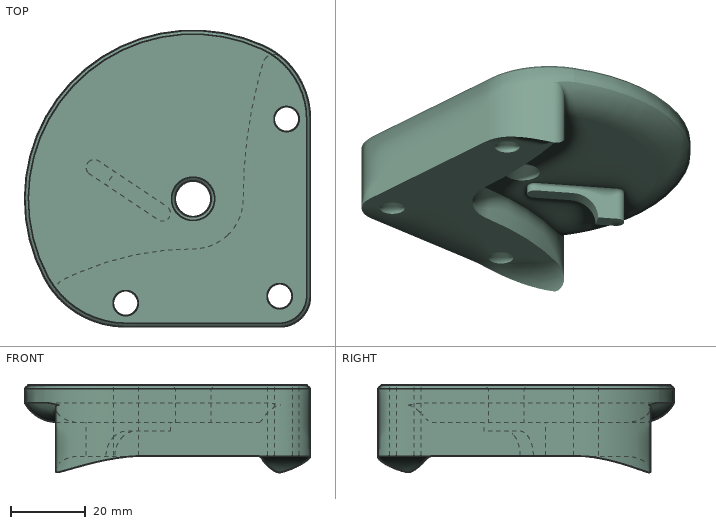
import cadquery as cq
import math


disc_radius = 45.0
right_edge = 31.32
bottom_edge = -34.2
right_flat_top = 21.3
bottom_flat_left = -18.0
corner_radius = 8.2
top_chamfer = 1.0
corner_center = (right_edge - corner_radius, bottom_edge + corner_radius)

plate_thickness = 10.0
rim_edge_drop = 4.75
wall_bottom = -19.0
wall_flat_radius = 36.35
rim_round_radius = 10.0
lowest_level = -30.0

pocket_radius = 13.3
nose_radius = 3.0
upper_nose_angle = math.radians(50.6)
left_nose_angle = math.radians(223.2)
reach = 1.5
far_corner = (80.0, -80.0)
margin = 1.0

bore_diameter = 9.53
bore_chamfer = 1.0
bore_sink_angle = 90.0
screw_diameter = 6.6
screw_inset = 6.35
screw_positions = [
    (right_edge - screw_inset, right_flat_top),
    corner_center,
    (bottom_flat_left, bottom_edge + screw_inset),
]

rib_start = (-26.5, 8.43)
rib_end = (-8.25, -3.75)
rib_radius = 2.12
rib_low_depth = 2.25
rib_step = 12.0


def blend_radius(edge_distance, tangent_offset):
    """Radius of an arc tangent to a flat edge and touching the disc from inside."""
    return (disc_radius**2 - edge_distance**2 - tangent_offset**2) / (2 * (disc_radius - edge_distance))


blend_right = blend_radius(right_edge, right_flat_top)
blend_bottom = blend_radius(-bottom_edge, bottom_flat_left)
blend_right_center = (right_edge - blend_right, right_flat_top)
blend_bottom_center = (bottom_flat_left, bottom_edge + blend_bottom)

rim_center_height = rim_round_radius - plate_thickness
rim_flat_radius = disc_radius - math.sqrt(rim_round_radius**2 - (rim_center_height + rim_edge_drop)**2)


def polar(center, radius, angle):
    return (center[0] + radius * math.cos(angle), center[1] + radius * math.sin(angle))


def heading(start, end):
    return math.atan2(end[1] - start[1], end[0] - start[0])


def add_arc(sketch, center, radius, start_angle, end_angle):
    """Continue a wire with an arc from start_angle to end_angle (radians)."""
    middle = polar(center, radius, (start_angle + end_angle) / 2)
    return sketch.threePointArc(middle, polar(center, radius, end_angle))


def make_outline():
    origin = (0, 0)
    right_angle = heading(origin, blend_right_center)
    bottom_angle = heading(origin, blend_bottom_center) + 2 * math.pi
    sketch = cq.Workplane("XY").moveTo(right_edge, right_flat_top)
    sketch = add_arc(sketch, blend_right_center, blend_right, 0, right_angle)
    sketch = add_arc(sketch, origin, disc_radius, right_angle, bottom_angle)
    sketch = add_arc(sketch, blend_bottom_center, blend_bottom, bottom_angle, 1.5 * math.pi)
    sketch = sketch.lineTo(corner_center[0], bottom_edge)
    sketch = add_arc(sketch, corner_center, corner_radius, -math.pi / 2, 0)
    return sketch.close()


def make_blank():
    """Full-height prism of the outline with the upper edge chamfered."""
    blank = make_outline().extrude(lowest_level)
    return blank.faces(">Z").chamfer(top_chamfer)


def make_plate_envelope():
    """Disc with the rounded underside of the rim."""
    middle = polar((rim_flat_radius, rim_center_height), rim_round_radius, -math.pi / 3)
    return (
        cq.Workplane("XZ")
        .lineTo(0, -plate_thickness)
        .lineTo(rim_flat_radius, -plate_thickness)
        .threePointArc(middle, (disc_radius, -rim_edge_drop))
        .lineTo(disc_radius + margin, -rim_edge_drop)
        .lineTo(disc_radius + margin, 0)
        .close()
        .revolve(360, (0, 0), (0, 1))
    )


def wall_arc_radius(across, along):
    """Radius of the inner wall arc, tangent to the pocket corner and to a wall nose.

    across is the nose's distance from the bore square to the wall, along is that parallel to it.
    """
    offset = across - pocket_radius
    return (offset**2 + along**2 - nose_radius**2) / (2 * (offset - nose_radius))


def make_wall_plan():
    """Vertical prism whose inner side is the wall's inner face."""
    upper_nose = polar(blend_right_center, blend_right - nose_radius, upper_nose_angle)
    left_nose = polar(blend_bottom_center, blend_bottom - nose_radius, left_nose_angle)
    upper_arc = wall_arc_radius(upper_nose[0], upper_nose[1])
    left_arc = wall_arc_radius(-left_nose[1], left_nose[0])
    upper_center = (pocket_radius + upper_arc, 0)
    left_center = (0, -pocket_radius - left_arc)
    upper_tangent = heading(upper_center, upper_nose)
    left_tangent = heading(left_center, left_nose)
    upper_tip = polar(upper_nose, nose_radius, upper_nose_angle)
    left_tip = polar(left_nose, nose_radius, left_nose_angle)

    sketch = cq.Workplane("XY").moveTo(*upper_tip)
    sketch = add_arc(sketch, upper_nose, nose_radius, upper_nose_angle, upper_tangent)
    sketch = add_arc(sketch, upper_center, upper_arc, upper_tangent, math.pi)
    sketch = add_arc(sketch, (0, 0), pocket_radius, 0, -math.pi / 2)
    sketch = add_arc(sketch, left_center, left_arc, math.pi / 2, left_tangent)
    sketch = add_arc(sketch, left_nose, nose_radius, left_tangent, left_nose_angle)
    sketch = sketch.lineTo(left_tip[0] * reach, left_tip[1] * reach)
    sketch = sketch.lineTo(*far_corner)
    sketch = sketch.lineTo(upper_tip[0] * reach, upper_tip[1] * reach)
    return sketch.close().extrude(lowest_level)


def make_wall_underside_cut():
    """Space below the wall: flat in the middle, curving down outside at both wall ends."""
    outer = disc_radius + margin
    arc_center = (wall_flat_radius, wall_bottom - rim_round_radius)
    end_angle = math.acos((outer - wall_flat_radius) / rim_round_radius)
    middle = polar(arc_center, rim_round_radius, (end_angle + math.pi / 2) / 2)
    dome = (
        cq.Workplane("XZ")
        .moveTo(0, lowest_level)
        .lineTo(0, wall_bottom)
        .lineTo(wall_flat_radius, wall_bottom)
        .threePointArc(middle, polar(arc_center, rim_round_radius, end_angle))
        .lineTo(outer, lowest_level)
        .close()
        .revolve(360, (0, 0), (0, 1))
    )
    corner = cq.Workplane("XY").box(outer, outer, wall_bottom - lowest_level, centered=False)
    return dome.union(corner.translate((0, -outer, lowest_level)))


def make_rib():
    """Round-ended rib, relieved by a concave arc to a shallow second half."""
    angle = math.degrees(heading(rib_start, rib_end))
    length = math.dist(rib_start, rib_end)
    height = -plate_thickness - wall_bottom
    relief_radius = height - rib_low_depth
    rib = (
        cq.Workplane("XY")
        .center(length / 2, 0)
        .slot2D(length + 2 * rib_radius, 2 * rib_radius)
        .extrude(height)
    )
    relief = (
        cq.Workplane("XZ")
        .moveTo(rib_step - relief_radius, 0)
        .radiusArc((rib_step, relief_radius), relief_radius)
        .lineTo(length + 2 * rib_radius, relief_radius)
        .lineTo(length + 2 * rib_radius, 0)
        .close()
        .extrude(rib_radius * 2, both=True)
    )
    rib = rib.cut(relief).rotate((0, 0, 0), (0, 0, 1), angle)
    return rib.translate((rib_start[0], rib_start[1], wall_bottom))


def cut_holes(body):
    body = body.faces(">Z").workplane(origin=(0, 0, 0)).pushPoints(screw_positions).hole(screw_diameter)
    sink_diameter = bore_diameter + 2 * bore_chamfer
    return body.faces(">Z").workplane(origin=(0, 0, 0)).cskHole(bore_diameter, sink_diameter, bore_sink_angle)


wall = make_wall_plan().cut(make_wall_underside_cut())
body = make_blank().intersect(make_plate_envelope().union(wall))
result = cut_holes(body.union(make_rib()))